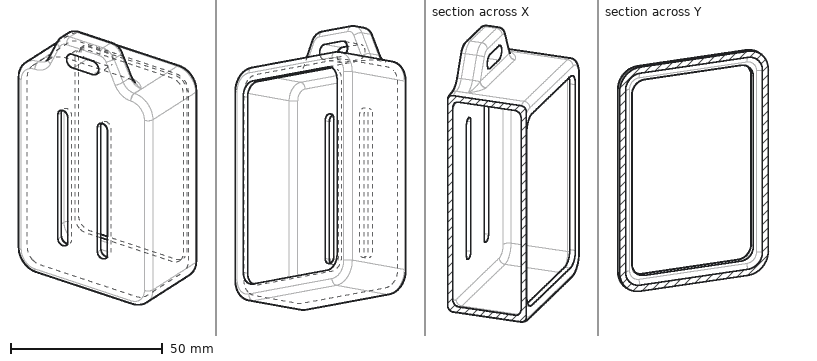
import cadquery as cq

pick_margin = 0.05

width = 54.0
depth = 28.0
height = 91.0
body_height = 78.0
corner_radius = 7.5
edge_radius = 2.0

tab_depth = 8.0
tab_top_half_width = 9.8
tab_root_half_width = 16.3
tab_bend_radius = 5.0
tab_root_fillet = 2.0

cord_hole_length = 13.0
cord_hole_height = 5.0
cord_hole_z = 83.5

slot_width = 4.0
slot_length = 50.05
slot_spacing = 16.0
slot_bottom = 14.0

wall = 2.0
cavity_edge_radius = 2.0
window_margin = 5.0
window_corner_radius = 4.55


def extrude_back(sketch, front_y, length):
    """Extrude a sketch drawn in X and Z toward +Y, starting at front_y."""
    plane = cq.Plane(origin=(0, front_y, 0), xDir=(1, 0, 0), normal=(0, -1, 0))
    return cq.Workplane(plane).placeSketch(sketch).extrude(-length)


def rounded_block(inset, radius, front_y, length):
    """Block inset evenly from the body outline, with rounded corners."""
    sketch = (
        cq.Sketch()
        .push([(0, body_height / 2)])
        .rect(width - 2 * inset, body_height - 2 * inset)
        .reset()
        .vertices()
        .fillet(radius)
    )
    return extrude_back(sketch, front_y, length)


def make_tab():
    """Tab plate with its flared foot sunk into the body."""
    foot_half_width = width / 2 - corner_radius
    foot_z = body_height - corner_radius
    outline = [
        (-foot_half_width, foot_z),
        (foot_half_width, foot_z),
        (foot_half_width, body_height),
        (tab_root_half_width, body_height),
        (tab_top_half_width, height),
        (-tab_top_half_width, height),
        (-tab_root_half_width, body_height),
        (-foot_half_width, body_height),
    ]
    plate = cq.Workplane("XZ").polyline(outline).close().extrude(-tab_depth)
    bend_half_width = tab_root_half_width + edge_radius
    bends = cq.selectors.BoxSelector(
        (-bend_half_width, -pick_margin, body_height - pick_margin),
        (bend_half_width, depth, height + pick_margin),
    )
    plate = plate.edges("|Y").edges(bends).fillet(tab_bend_radius)
    above_body = cq.selectors.BoxSelector(
        (-width, 0, body_height + pick_margin), (width, depth, height + pick_margin)
    )
    return plate.faces(">Y").edges(above_body).fillet(edge_radius)


def make_outer():
    """Body and tab with all outer edges rounded."""
    outer = rounded_block(0, corner_radius, 0, depth).union(make_tab())
    tab_root = cq.selectors.BoxSelector(
        (-width, tab_depth - edge_radius / 2, body_height - pick_margin),
        (width, tab_depth + pick_margin, body_height + pick_margin),
    )
    outer = outer.edges(tab_root).fillet(tab_root_fillet)
    outer = outer.faces("<Y").edges().fillet(edge_radius)
    outer = outer.faces(">Y").edges().fillet(edge_radius)
    return outer


def make_cavity():
    """Space inside the walls, with rounded edges along the front and back walls."""
    cavity = rounded_block(wall, corner_radius - wall, wall, depth - 2 * wall)
    return cavity.faces("<Y or >Y").edges().fillet(cavity_edge_radius)


def slot(length, slot_thickness, x, z, cut_depth, angle=0):
    """Round-ended cutter starting at the front face; angle 0 lies along X, 90 along Z."""
    plane = cq.Plane(origin=(x, 0, z), xDir=(1, 0, 0), normal=(0, -1, 0))
    return cq.Workplane(plane).slot2D(length, slot_thickness, angle).extrude(-cut_depth)


result = make_outer()
result = result.cut(make_cavity())
result = result.cut(rounded_block(window_margin, window_corner_radius, depth - wall, wall))
result = result.cut(slot(cord_hole_length, cord_hole_height, 0, cord_hole_z, tab_depth))
for side in (-1, 1):
    slot_x = side * slot_spacing / 2
    slot_z = slot_bottom + slot_length / 2
    result = result.cut(slot(slot_length, slot_width, slot_x, slot_z, wall, angle=90))